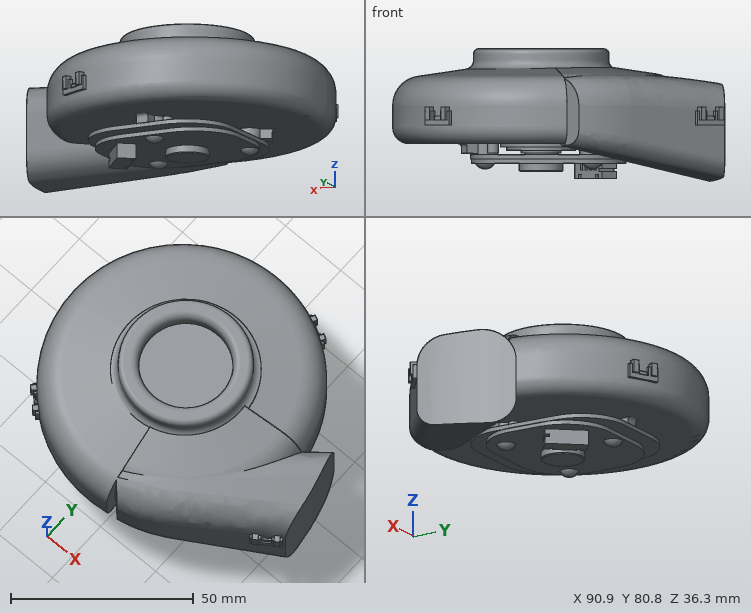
import cadquery as cq
import math


inlet_top = 26.0
tall = 54.5

seam_angle = 7.0
scroll_start_radius = 38.4
scroll_half_radius = 40.6
scroll_end_radius = 42.5
scroll_top_round = 8.1
scroll_core_radius = 10.9
scroll_floor_round = 4.5

collar_radius = 18.5
collar_foot_radius = 20.6
collar_foot_z = 20.45
collar_wall_z = 23.0
collar_outer_round = 1.45
collar_inner_round = 2.1
bore_radius = 12.9
hub_top_z = 21.9
roof_slope = 8.5
rim_z = 18.45
roof_overlap = 0.045
roof_outer_radius = 63.6

wall_angle = 35.0
inner_wall_angle = 43.5
duct_end_x = 50.3
inner_end = (43.6, 11.6)
end_face_mid = (48.2, -2.2)
inner_wall_length = 60.0
duct_overrun = 10.9
duct_floor_slope = 10.0
duct_floor_drop = 3.3
duct_arc_start = 278.5
inner_top_round = 8.9
inner_floor_round = 7.3

clip_width = 9.1
clip_depth = 1.7
clip_bottom_z = 5.1
clip_top_z = 9.0
prong_top_z = 10.0
prong_width = 1.6
prong_inset = 0.7
clip_bar_height = 1.4
tongue_width = 2.7
clip_embed = 1.4
clip_post_width = 3.1
tongue_height = 1.1
tongue_depth = 0.5
clip_sink = 0.2
top_clip_angle = 64.0
side_clip_angle = 226.0
duct_clip_setback = 5.3

board_top_z = -3.0
board_mid_z = -4.2
board_bottom_z = -5.4
board_corner_round = 13.6
upper_board = (-19.4, 22.9, -21.5, 25.2)
lower_board = (-19.1, 23.2, -16.4, 20.4)
motor_steps = [(11.2, 0.9), (9.45, 1.8), (5.45, 2.5)]
motor_neck_radius = 4.5
motor_cap_radius = 6.0
motor_cap_z = -7.5
motor_cap_chamfer = 0.3
mount_circle = 17.0
mount_angles = [85.4, 205.4, 325.4]
standoff_radius = 3.45
screw_radius = 2.6
screw_head_height = 1.5
peg_radius = 1.5
peg_circle = 16.7
peg_offset_angle = 12.6
peg_depth = 2.5
lug_reach = 23.3
lug_width = 3.6
lug_depth = 2.6
lug_flare = 1.0

connector_centre = (14.9, 10.0)
connector_angle = -51.5
connector_length = 12.0
connector_width = 5.2
connector_bottom_z = -9.5
pin_count = 4
pin_pitch = 2.0
pin_slot_width = 0.8
pin_slot_depth = 0.9
pin_slot_bottom_z = -7.2
key_spacing = 7.6
key_width = 1.1
key_height = 1.2
latch_z = -7.2
latch_height = 0.7
latch_depth = 1.2


def polar(radius, angle, centre=(0.0, 0.0)):
    turn = math.radians(angle)
    return (centre[0] + radius * math.cos(turn), centre[1] + radius * math.sin(turn))


def disc(radius, top, bottom, centre=(0.0, 0.0)):
    return cq.Workplane("XY", origin=(*centre, bottom)).circle(radius).extrude(top - bottom)


upper_radius = (scroll_start_radius + scroll_half_radius) / 2
upper_centre = polar(scroll_start_radius - upper_radius, seam_angle)
lower_radius = (scroll_half_radius + scroll_end_radius) / 2
lower_centre = polar(scroll_end_radius - lower_radius, seam_angle)

rim_inset = scroll_top_round * (1 - math.sin(math.radians(roof_slope)))
wall_normal_angle = wall_angle - 90
wall_start = polar(lower_radius, wall_normal_angle, lower_centre)
wall_length = (duct_end_x - wall_start[0]) / math.cos(math.radians(wall_angle))
wall_end = polar(wall_length, wall_angle, wall_start)


def lower_arc_point(angle):
    return polar(lower_radius, angle, lower_centre)


def casing_profile(radius, rim_height):
    """Half section of the casing: rounded floor, upright wall, rounded rim and conical roof."""
    slope = math.radians(roof_slope)
    rim_radius = radius - rim_inset
    wall_top_z = rim_height - scroll_top_round * math.cos(slope)
    rim_bend = polar(scroll_top_round, 45 - roof_slope / 2, (radius - scroll_top_round, wall_top_z))
    floor_bend = polar(scroll_floor_round, -45, (radius - scroll_floor_round, scroll_floor_round))
    return (
        cq.Workplane("XZ")
        .moveTo(scroll_core_radius, 0)
        .lineTo(radius - scroll_floor_round, 0)
        .threePointArc(floor_bend, (radius, scroll_floor_round))
        .lineTo(radius, wall_top_z)
        .threePointArc(rim_bend, (rim_radius, rim_height))
        .lineTo(scroll_core_radius, rim_height + (rim_radius - scroll_core_radius) * math.tan(slope))
        .close()
    )


def casing_sector(radius, centre, start_angle, end_angle, rim_height=rim_z):
    body = casing_profile(radius, rim_height).revolve(end_angle - start_angle, (0, 0, 0), (0, 1, 0))
    return body.rotate((0, 0, 0), (0, 0, 1), start_angle).translate((*centre, 0))


def scroll():
    half_angle = seam_angle + 180
    upper = casing_sector(upper_radius, upper_centre, seam_angle, half_angle)
    lower = casing_sector(lower_radius, lower_centre, half_angle, duct_arc_start)
    step = scroll_end_radius - scroll_start_radius
    inner_rim_z = rim_z + step * math.tan(math.radians(roof_slope)) + roof_overlap
    behind_duct = casing_sector(
        lower_radius - step, lower_centre, duct_arc_start, seam_angle + 360, inner_rim_z
    )
    return upper.union(lower).union(behind_duct)


def roof_trim():
    """Everything below the roof cone of the lower half, carried out past the duct."""
    slope = math.radians(roof_slope)
    apex_z = rim_z + (lower_radius - rim_inset) * math.tan(slope)
    edge_z = apex_z - roof_outer_radius * math.tan(slope)
    profile = [(0, -tall), (roof_outer_radius, -tall), (roof_outer_radius, edge_z), (0, apex_z)]
    cone = cq.Workplane("XZ").polyline(profile).close().revolve(360, (0, 0, 0), (0, 1, 0))
    return cone.rotate((0, 0, 0), (0, 0, 1), 180).translate((*lower_centre, 0))


def duct_trim():
    """Everything above the sloping duct floor and below the roof."""
    size = 4 * tall
    floor = (
        cq.Workplane("XY")
        .box(size, size, size, centered=(True, True, False))
        .rotate((0, 0, 0), (0, 1, 0), duct_floor_slope)
        .rotate((0, 0, 0), (0, 0, 1), wall_angle)
        .translate((*wall_start, -duct_floor_drop))
    )
    return roof_trim().intersect(floor)


def round_wall(body, start, length, angle, top_round, floor_round):
    """Round the roof and floor edges of one straight duct wall."""
    middle = polar(length / 2, angle, start)
    body = body.edges(cq.selectors.NearestToPointSelector((*middle, tall))).fillet(top_round)
    return body.edges(cq.selectors.NearestToPointSelector((*middle, -tall))).fillet(floor_round)


def duct():
    space = duct_trim()
    below = cq.Workplane("XY", origin=(0, 0, -tall))
    beyond_end = polar(duct_overrun, inner_wall_angle + 90, inner_end)
    outer_side = (
        below.moveTo(*lower_arc_point(duct_arc_start))
        .threePointArc(lower_arc_point((duct_arc_start + wall_normal_angle + 360) / 2), wall_start)
        .lineTo(*wall_end)
        .threePointArc(end_face_mid, inner_end)
        .lineTo(*beyond_end)
        .lineTo(*polar(scroll_core_radius, duct_arc_start, lower_centre))
        .close()
        .extrude(2 * tall)
        .intersect(space)
    )
    outer_side = round_wall(
        outer_side, wall_start, wall_length, wall_angle, scroll_top_round, scroll_floor_round
    )

    inner_start = polar(-inner_wall_length, inner_wall_angle, inner_end)
    inner_stop = polar(duct_overrun, inner_wall_angle, inner_end)
    inner_side = (
        below.moveTo(*inner_stop)
        .lineTo(*inner_start)
        .lineTo(*polar(tall, inner_wall_angle - 90, inner_start))
        .lineTo(*polar(tall, inner_wall_angle - 90, inner_stop))
        .close()
        .extrude(2 * tall)
        .intersect(space)
    )
    inner_side = round_wall(
        inner_side, inner_end, -inner_wall_length, inner_wall_angle, inner_top_round, inner_floor_round
    )
    return outer_side.intersect(inner_side)


def collar():
    flat_radius = collar_radius - collar_outer_round
    shoulder_z = inlet_top - collar_outer_round
    lip_radius = bore_radius + collar_inner_round
    cos45 = math.sqrt(0.5)
    foot_bend = (
        collar_radius + (1 - cos45) * (collar_foot_radius - collar_radius),
        collar_foot_z + (1 - cos45) * (collar_wall_z - collar_foot_z),
    )
    outer_bend = (flat_radius + cos45 * collar_outer_round, shoulder_z + cos45 * collar_outer_round)
    lip_z = inlet_top - collar_inner_round
    inner_bend = (lip_radius - cos45 * collar_inner_round, lip_z + cos45 * collar_inner_round)
    return (
        cq.Workplane("XZ")
        .lineTo(collar_foot_radius, 0)
        .lineTo(collar_foot_radius, collar_foot_z)
        .threePointArc(foot_bend, (collar_radius, collar_wall_z))
        .lineTo(collar_radius, shoulder_z)
        .threePointArc(outer_bend, (flat_radius, inlet_top))
        .lineTo(lip_radius, inlet_top)
        .threePointArc(inner_bend, (bore_radius, lip_z))
        .lineTo(bore_radius, hub_top_z)
        .lineTo(0, hub_top_z)
        .close()
        .revolve(360, (0, 0, 0), (0, 1, 0))
    )


def clip():
    """U-shaped clip whose back lies on the plane X = 0, width along Y, facing +X."""
    frame_height = clip_top_z - clip_bottom_z
    depth = clip_embed + clip_depth

    def block(width, height, block_depth, y, z):
        base = cq.Workplane("XY", origin=(-clip_embed, y, z))
        return base.box(block_depth, width, height, centered=(False, True, False))

    body = block(clip_width, clip_bar_height, depth - prong_inset, 0, clip_bottom_z)
    inner_z = clip_bottom_z + clip_bar_height
    for side in (-1, 1):
        post_y = side * (clip_width - clip_post_width) / 2
        body = body.union(block(clip_post_width, frame_height, depth - prong_inset, post_y, clip_bottom_z))
        body = body.union(block(prong_width, prong_top_z - inner_z, depth, post_y, inner_z))
    return body.union(block(tongue_width, tongue_height, clip_embed + tongue_depth, 0, inner_z))


def place_clip(foot, angle):
    return clip().rotate((0, 0, 0), (0, 0, 1), angle).translate((*foot, 0))


def clips():
    top = place_clip(polar(upper_radius - clip_sink, top_clip_angle, upper_centre), top_clip_angle)
    side = place_clip(polar(lower_radius - clip_sink, side_clip_angle, lower_centre), side_clip_angle)
    duct_foot = polar(wall_length - duct_clip_setback, wall_angle, wall_start)
    return [top, side, place_clip(duct_foot, wall_normal_angle)]


def motor():
    body = disc(motor_neck_radius, 0, board_bottom_z)
    for radius, depth in motor_steps:
        body = body.union(disc(radius, 0, -depth))
    cap = disc(motor_cap_radius, board_bottom_z, motor_cap_z)
    return body.union(cap.faces("<Z").edges().chamfer(motor_cap_chamfer))


def board(outline, top, bottom):
    """Plate with well rounded corners; the outline is (left, right, front, back)."""
    left, right, front, back = outline
    centre = ((left + right) / 2, (front + back) / 2, bottom)
    plate = cq.Workplane("XY", origin=centre).rect(right - left, back - front).extrude(top - bottom)
    return plate.edges("|Z").fillet(board_corner_round)


def screw_head(centre):
    cap_radius = (screw_radius**2 + screw_head_height**2) / (2 * screw_head_height)
    ball_z = board_bottom_z - screw_head_height + cap_radius
    ball = cq.Workplane("XY", origin=(*centre, ball_z)).sphere(cap_radius)
    return ball.intersect(disc(screw_radius, board_mid_z, -tall, centre))


def mount(angle):
    """Standoff, locating peg, casing lug and screw head at one of the three fixing points."""
    centre = polar(mount_circle, angle)
    lug = (
        cq.Workplane("XZ")
        .moveTo(mount_circle, 0)
        .lineTo(lug_reach + lug_flare, 0)
        .radiusArc((lug_reach, -lug_flare), -lug_flare)
        .lineTo(lug_reach, -lug_depth)
        .lineTo(mount_circle, -lug_depth)
        .close()
        .extrude(lug_width / 2, both=True)
        .rotate((0, 0, 0), (0, 0, 1), angle)
    )
    standoff = disc(standoff_radius, 0, board_mid_z, centre)
    peg = disc(peg_radius, 0, -peg_depth, polar(peg_circle, angle + peg_offset_angle))
    return standoff.union(peg).union(lug).union(screw_head(centre))


def connector():
    """Plug housing; its slotted front is the -Y face before it is turned into place."""
    height = board_mid_z - connector_bottom_z
    front_y = -connector_width / 2
    upright = (True, True, False)
    middle = cq.Workplane("XY", origin=(0, 0, connector_bottom_z))
    body = middle.box(connector_length, connector_width, height, centered=upright)
    slot_height = board_bottom_z - pin_slot_bottom_z
    for pin in range(pin_count):
        pin_x = (pin - (pin_count - 1) / 2) * pin_pitch
        slot = cq.Workplane("XY", origin=(pin_x, front_y, pin_slot_bottom_z))
        body = body.cut(slot.box(pin_slot_width, 2 * pin_slot_depth, slot_height, centered=upright))
    for side in (-1, 1):
        key = cq.Workplane("XY", origin=(side * key_spacing / 2, front_y, connector_bottom_z))
        body = body.cut(key.box(key_width, 2 * pin_slot_depth, key_height, centered=upright))
    latch = cq.Workplane("XY", origin=(connector_length / 2, 0, latch_z))
    body = body.cut(latch.box(2 * latch_depth, connector_width, latch_height))
    return body.rotate((0, 0, 0), (0, 0, 1), connector_angle).translate((*connector_centre, 0))


bore = disc(bore_radius, inlet_top, hub_top_z)
result = scroll().union(duct()).union(collar()).cut(bore)
for casing_clip in clips():
    result = result.union(casing_clip)
result = result.union(motor())
result = result.union(board(upper_board, board_top_z, board_mid_z))
result = result.union(board(lower_board, board_mid_z, board_bottom_z))
for mount_angle in mount_angles:
    result = result.union(mount(mount_angle))
result = result.union(connector())